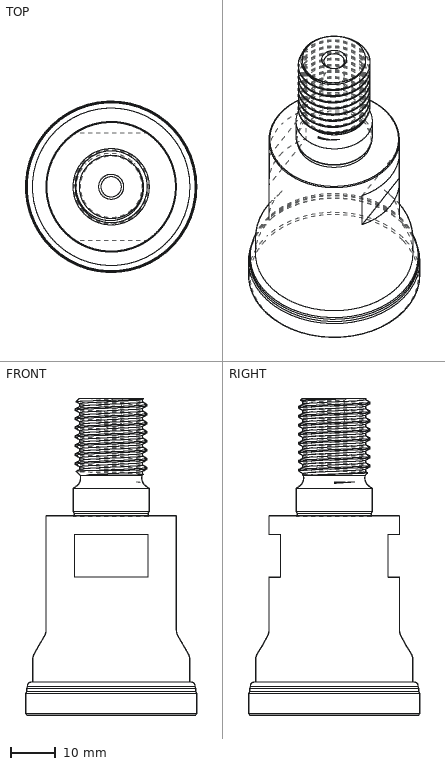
import cadquery as cq
import math

TOTAL_HEIGHT = 70.45

CAP_RADIUS = 38.1 / 2
CAP_BOTTOM_CHAMFER = 0.35
CAP_WALL_TOP = 4.85
CAP_BAND_RADIUS = 18.8
CAP_BAND_BOTTOM = 5.3
CAP_BAND_TOP = 6.0
CAP_CROWN_BASE_RADIUS = 18.7
CAP_CROWN_BASE = 6.4
CAP_CROWN_RADIUS = 17.9
CAP_TOP = 7.4

SKIRT_RADIUS = 35.0 / 2
BODY_RADIUS = 29.0 / 2
FLARE_TOP = 18.25
FLARE_ANGLE = math.radians(30)
FLARE_BOTTOM = FLARE_TOP - (SKIRT_RADIUS - BODY_RADIUS) / math.tan(FLARE_ANGLE)
FLARE_BLEND_RADIUS = 2.95
SHOULDER_Z = 44.45
SHOULDER_CHAMFER = 0.2

UNDERCUT_OUTER_RADIUS = 9.3
UNDERCUT_RADIUS = 8.25
UNDERCUT_DEPTH = 0.3
UNDERCUT_WALL_TOP = 44.9
UNDERCUT_TOP = 45.3

COLLAR_RADIUS = 17.0 / 2
COLLAR_TOP = 50.45
COLLAR_RIM_RADIUS = 7.55
COLLAR_RIM_Z = 51.1
NECK_RADIUS = 6.8
NECK_WAIST = 52.6
NECK_TOP_RADIUS = 6.9
NECK_TOP = 53.3

THREAD_RADIUS = 16.0 / 2
THREAD_TURNS = 10
THREAD_GROOVE_LENGTH = 20.0
THREAD_PITCH = THREAD_GROOVE_LENGTH / THREAD_TURNS
THREAD_DEPTH = 1.0
THREAD_CREST_WIDTH = 0.3
THREAD_FLANK_ANGLE = math.radians(30)
THREAD_GROOVE_START = 51.9
TOOL_OVERRUN = 0.2
THREAD_CHAMFER = 0.9

FLAT_DISTANCE = 12.0
FLAT_BOTTOM = 30.7
FLAT_TOP = 40.15

HOLE_RADIUS = 4.5 / 2
HOLE_MOUTH_RADIUS = 5.6 / 2
HOLE_DEPTH = 5.65
DRILL_POINT_ANGLE = math.radians(59)


def turned_body():
    """Revolve the complete outer profile, with a plain cylinder in place of the thread."""
    thread_runout = THREAD_RADIUS - NECK_TOP_RADIUS
    crown_bend = math.sqrt(0.5)
    crown_mid = (
        CAP_CROWN_RADIUS + (CAP_CROWN_BASE_RADIUS - CAP_CROWN_RADIUS) * crown_bend,
        CAP_CROWN_BASE + (CAP_TOP - CAP_CROWN_BASE) * crown_bend,
    )
    blend_length = FLARE_BLEND_RADIUS * math.tan(FLARE_ANGLE / 2)
    blend_dr = blend_length * math.sin(FLARE_ANGLE)
    blend_dz = blend_length * math.cos(FLARE_ANGLE)
    mid_dr = FLARE_BLEND_RADIUS * (1 - math.cos(FLARE_ANGLE / 2))
    mid_dz = FLARE_BLEND_RADIUS * math.sin(FLARE_ANGLE / 2)
    lower_start = FLARE_BOTTOM - blend_length
    upper_end = FLARE_TOP + blend_length

    profile = (
        cq.Workplane("XZ")
        .moveTo(0, 0)
        .lineTo(CAP_RADIUS - CAP_BOTTOM_CHAMFER, 0)
        .lineTo(CAP_RADIUS, CAP_BOTTOM_CHAMFER)
        .lineTo(CAP_RADIUS, CAP_WALL_TOP)
        .lineTo(CAP_BAND_RADIUS, CAP_BAND_BOTTOM)
        .lineTo(CAP_BAND_RADIUS, CAP_BAND_TOP)
        .lineTo(CAP_CROWN_BASE_RADIUS, CAP_CROWN_BASE)
        .threePointArc(crown_mid, (CAP_CROWN_RADIUS, CAP_TOP))
        .lineTo(SKIRT_RADIUS, CAP_TOP)
        .lineTo(SKIRT_RADIUS, lower_start)
        .threePointArc(
            (SKIRT_RADIUS - mid_dr, lower_start + mid_dz),
            (SKIRT_RADIUS - blend_dr, FLARE_BOTTOM + blend_dz),
        )
        .lineTo(BODY_RADIUS + blend_dr, FLARE_TOP - blend_dz)
        .threePointArc((BODY_RADIUS + mid_dr, upper_end - mid_dz), (BODY_RADIUS, upper_end))
        .lineTo(BODY_RADIUS, SHOULDER_Z - SHOULDER_CHAMFER)
        .lineTo(BODY_RADIUS - SHOULDER_CHAMFER, SHOULDER_Z)
        .lineTo(UNDERCUT_OUTER_RADIUS, SHOULDER_Z)
        .lineTo(UNDERCUT_RADIUS, SHOULDER_Z - UNDERCUT_DEPTH)
        .lineTo(UNDERCUT_RADIUS, UNDERCUT_WALL_TOP)
        .lineTo(COLLAR_RADIUS, UNDERCUT_TOP)
        .lineTo(COLLAR_RADIUS, COLLAR_TOP)
        .lineTo(COLLAR_RIM_RADIUS, COLLAR_RIM_Z)
        .threePointArc((NECK_RADIUS, NECK_WAIST), (NECK_TOP_RADIUS, NECK_TOP))
        .lineTo(THREAD_RADIUS, NECK_TOP + thread_runout)
        .lineTo(THREAD_RADIUS, TOTAL_HEIGHT - THREAD_CHAMFER)
        .lineTo(THREAD_RADIUS - THREAD_CHAMFER, TOTAL_HEIGHT)
        .lineTo(0, TOTAL_HEIGHT)
        .close()
    )
    return profile.revolve(360, (0, 0, 0), (0, 1, 0))


def groove_turn():
    """One full right-hand turn of the V groove, starting on +X at height zero."""
    slope = math.tan(THREAD_FLANK_ANGLE)
    half_mouth = (THREAD_PITCH - THREAD_CREST_WIDTH) / 2
    half_root = half_mouth - THREAD_DEPTH * slope
    half_outer = half_mouth + TOOL_OVERRUN * slope
    outer_radius = THREAD_RADIUS + TOOL_OVERRUN
    root_radius = THREAD_RADIUS - THREAD_DEPTH
    section = (
        cq.Workplane("XZ")
        .moveTo(root_radius, -half_root)
        .lineTo(outer_radius, -half_outer)
        .lineTo(outer_radius, half_outer)
        .lineTo(root_radius, half_root)
        .close()
    )
    helix = cq.Wire.makeHelix(THREAD_PITCH, THREAD_PITCH, root_radius)
    return section.sweep(cq.Workplane(helix), isFrenet=True)


def cut_thread(body):
    """Cut the groove turn by turn, from the relief neck out through the top."""
    turn = groove_turn()
    for index in range(THREAD_TURNS):
        body = body.cut(turn.translate((0, 0, THREAD_GROOVE_START + index * THREAD_PITCH)))
    return body


def wrench_flats():
    """Blocks that cut the two opposed flats on the body."""
    block_depth = BODY_RADIUS - FLAT_DISTANCE
    flat_height = FLAT_TOP - FLAT_BOTTOM
    block = cq.Workplane("XY").box(2 * BODY_RADIUS, block_depth, flat_height)
    centre_y = FLAT_DISTANCE + block_depth / 2
    centre_z = (FLAT_TOP + FLAT_BOTTOM) / 2
    front_block = block.translate((0, -centre_y, centre_z))
    return front_block.union(block.translate((0, centre_y, centre_z)))


def centre_hole():
    """Chamfered blind hole with a conical drill point."""
    floor_z = TOTAL_HEIGHT - HOLE_DEPTH
    tip_z = floor_z - HOLE_RADIUS / math.tan(DRILL_POINT_ANGLE)
    mouth_depth = HOLE_MOUTH_RADIUS - HOLE_RADIUS
    return (
        cq.Workplane("XZ")
        .moveTo(0, tip_z)
        .lineTo(HOLE_RADIUS, floor_z)
        .lineTo(HOLE_RADIUS, TOTAL_HEIGHT - mouth_depth)
        .lineTo(HOLE_MOUTH_RADIUS, TOTAL_HEIGHT)
        .lineTo(0, TOTAL_HEIGHT)
        .close()
        .revolve(360, (0, 0, 0), (0, 1, 0))
    )


result = cut_thread(turned_body()).cut(wrench_flats()).cut(centre_hole())